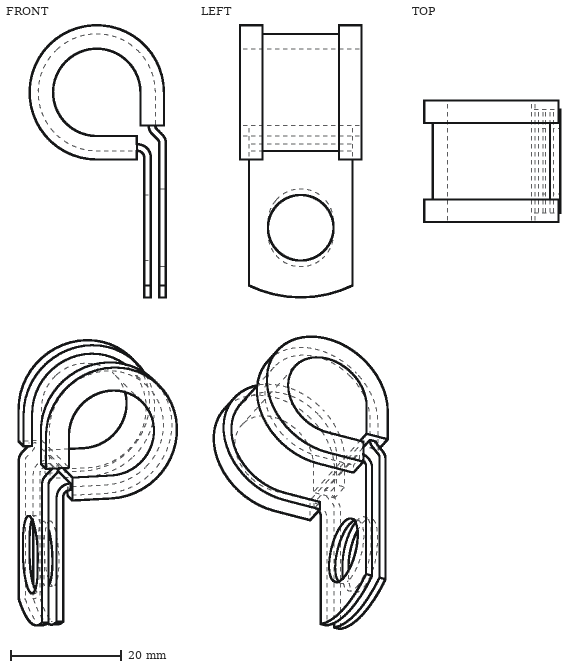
import cadquery as cq
import math


cushion_radius = 12.2
bore_radius = 7.9
cushion_width = 22.1
groove_width = 13.85
lower_end_x = 7.28
upper_end_z = -6.05

strap_thickness = 1.25
strap_outer_radius = 10.65
strap_inner_radius = strap_outer_radius - strap_thickness
strap_width = 18.85
leg_bottom_z = cushion_radius - 49.5
leg_end_drop = 2.2

inner_leg_bend = 2.45
inner_leg_x = 9.85

outer_leg_x = 12.55
joggle_radius = 0.9
joggle_angle = math.radians(45)

hole_diameter = 11.9
hole_z = -24.6
slot_length = 14.15


def extrude_centered(profile, width):
    return profile.extrude(width / 2, both=True)


def loop_band(outer, inner, width):
    """Three-quarter loop with a straight stretch at each end."""
    diagonal = math.sqrt(0.5)
    profile = (
        cq.Workplane("XZ")
        .moveTo(lower_end_x, -outer)
        .lineTo(0, -outer)
        .threePointArc((-outer * diagonal, outer * diagonal), (outer, 0))
        .lineTo(outer, upper_end_z)
        .lineTo(inner, upper_end_z)
        .lineTo(inner, 0)
        .threePointArc((-inner * diagonal, inner * diagonal), (0, -inner))
        .lineTo(lower_end_x, -inner)
        .close()
    )
    return extrude_centered(profile, width)


def arc_point(center, radius, angle):
    return (center[0] + radius * math.cos(angle), center[1] + radius * math.sin(angle))


def inner_leg():
    """Quarter bend from the lower strap end, then straight down."""
    center = (inner_leg_x - inner_leg_bend, -strap_inner_radius - inner_leg_bend)
    inner_bend = inner_leg_bend - strap_thickness
    mid_angle = math.radians(45)
    profile = (
        cq.Workplane("XZ")
        .moveTo(lower_end_x, -strap_inner_radius)
        .lineTo(center[0], -strap_inner_radius)
        .threePointArc(arc_point(center, inner_leg_bend, mid_angle), (inner_leg_x, center[1]))
        .lineTo(inner_leg_x, leg_bottom_z)
        .lineTo(inner_leg_x - strap_thickness, leg_bottom_z)
        .lineTo(inner_leg_x - strap_thickness, center[1])
        .threePointArc(arc_point(center, inner_bend, mid_angle), (center[0], -strap_outer_radius))
        .lineTo(lower_end_x, -strap_outer_radius)
        .close()
    )
    return extrude_centered(profile, strap_width)


def outer_leg():
    """Joggle outward from the upper strap end, then straight down."""
    tight = joggle_radius
    wide = joggle_radius + strap_thickness
    offset = outer_leg_x - strap_outer_radius
    bend_offset = (tight + wide) * (1 - math.cos(joggle_angle))
    slope_height = (offset - bend_offset) / math.tan(joggle_angle)
    joggle_height = (tight + wide) * math.sin(joggle_angle) + slope_height

    upper = (strap_outer_radius + tight, upper_end_z)
    lower = (outer_leg_x - wide, upper_end_z - joggle_height)
    upper_turn = math.pi + joggle_angle
    upper_mid = math.pi + joggle_angle / 2
    lower_mid = joggle_angle / 2
    leg_inner_x = outer_leg_x - strap_thickness
    profile = (
        cq.Workplane("XZ")
        .moveTo(strap_outer_radius, upper_end_z)
        .threePointArc(arc_point(upper, tight, upper_mid), arc_point(upper, tight, upper_turn))
        .lineTo(*arc_point(lower, wide, joggle_angle))
        .threePointArc(arc_point(lower, wide, lower_mid), (outer_leg_x, lower[1]))
        .lineTo(outer_leg_x, leg_bottom_z)
        .lineTo(leg_inner_x, leg_bottom_z)
        .lineTo(leg_inner_x, lower[1])
        .threePointArc(arc_point(lower, tight, lower_mid), arc_point(lower, tight, joggle_angle))
        .lineTo(*arc_point(upper, wide, upper_turn))
        .threePointArc(arc_point(upper, wide, upper_mid), (strap_inner_radius, upper_end_z))
        .close()
    )
    return extrude_centered(profile, strap_width)


def leg_outline():
    """Solid across both legs with the rounded lower end."""
    half_width = strap_width / 2
    corner_z = leg_bottom_z + leg_end_drop
    return (
        cq.Workplane("YZ")
        .moveTo(-half_width, 0)
        .lineTo(-half_width, corner_z)
        .threePointArc((0, leg_bottom_z), (half_width, corner_z))
        .lineTo(half_width, 0)
        .close()
        .extrude(outer_leg_x)
    )


def bolt_hole():
    """Round hole for the inner leg."""
    return cq.Workplane("YZ").center(0, hole_z).circle(hole_diameter / 2).extrude(outer_leg_x)


def bolt_slot():
    """Upright slot for the outer leg."""
    return cq.Workplane("YZ").center(0, hole_z).slot2D(slot_length, hole_diameter, 90).extrude(outer_leg_x)


result = loop_band(strap_outer_radius, bore_radius, cushion_width)
flange_width = (cushion_width - groove_width) / 2
for side in (-1, 1):
    flange_y = side * (groove_width + flange_width) / 2
    flange = loop_band(cushion_radius, bore_radius, flange_width)
    result = result.union(flange.translate((0, flange_y, 0)))

legs = inner_leg().cut(bolt_hole()).union(outer_leg().cut(bolt_slot())).intersect(leg_outline())
result = result.union(legs)